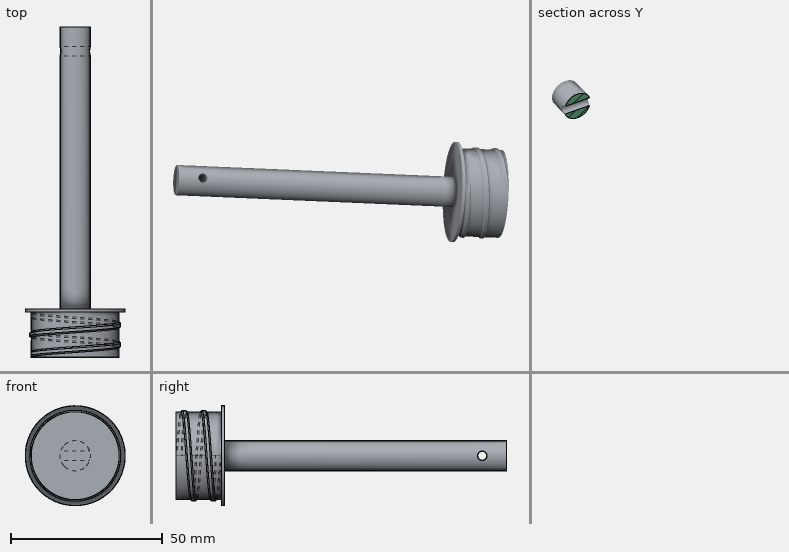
import cadquery as cq
import math

total_length = 109.0
cap_length = 15.0
flange_thickness = 1.0

cap_diameter = 29.0
thread_diameter = 30.0
flange_diameter = 33.0
rod_diameter = 10.0

cross_hole_diameter = 3.0
cross_hole_from_rod_end = 8.0

thread_turns = 2
thread_base_width = 2.0
thread_crest_width = 1.0
thread_runout_angle = 15.0
thread_overlap = 0.02

cap_radius = cap_diameter / 2
thread_height = (thread_diameter - cap_diameter) / 2
thread_pitch = (cap_length - thread_base_width) / thread_turns
thread_sweep_angle = 360.0 * thread_turns
flank_slope = (thread_base_width - thread_crest_width) / 2 / thread_height


def cylinder(diameter, start, length):
    """Solid cylinder on the Z axis, used before the part is turned onto Y."""
    return cq.Workplane("XY").workplane(offset=start).circle(diameter / 2).extrude(length)


def thread_section(angle, height):
    """Thread profile in the radial plane `angle` degrees along it, rising `height` above the cap."""
    center = thread_base_width / 2 + thread_pitch * angle / 360.0
    direction = math.radians(180.0 + angle)

    def point(rise, side):
        radius = cap_radius + rise
        half_width = thread_base_width / 2 - flank_slope * max(rise, 0.0)
        return cq.Vector(
            radius * math.cos(direction),
            radius * math.sin(direction),
            center + side * half_width,
        )

    corners = [
        point(-thread_overlap, -1),
        point(height, -1),
        point(height, 1),
        point(-thread_overlap, 1),
    ]
    return cq.Wire.makePolygon(corners, close=True)


def thread_runout(tip_angle, full_angle):
    """Wedge-shaped thread end that grows from nothing at the tip to full height."""
    middle_angle = (tip_angle + full_angle) / 2
    sections = [
        thread_section(tip_angle, 0.0),
        thread_section(middle_angle, thread_height / 2),
        thread_section(full_angle, thread_height),
    ]
    return cq.Workplane(cq.Solid.makeLoft(sections))


def thread_run():
    """Full-height thread between the two runouts."""
    run_angle = thread_sweep_angle - 2 * thread_runout_angle
    run_length = thread_pitch * run_angle / 360.0
    helix = cq.Wire.makeHelix(thread_pitch, run_length, cap_radius)
    start_angle = 180.0 + thread_runout_angle
    start_height = thread_base_width / 2 + thread_pitch * thread_runout_angle / 360.0
    axis_direction = cq.Vector(0, 0, 1)
    path = helix.rotate(cq.Vector(), axis_direction, start_angle)
    path = path.translate(axis_direction * start_height)
    section = thread_section(thread_runout_angle, thread_height)
    return cq.Workplane(cq.Solid.sweep(section, [], path, True, True))


def cross_hole():
    """Cutter for the hole across the rod near its free end."""
    hole_position = total_length - cross_hole_from_rod_end
    return (
        cq.Workplane("YZ")
        .center(0, hole_position)
        .circle(cross_hole_diameter / 2)
        .extrude(rod_diameter, both=True)
    )


cap = cylinder(cap_diameter, 0.0, cap_length)
flange = cylinder(flange_diameter, cap_length, flange_thickness)
rod = cylinder(rod_diameter, cap_length, total_length - cap_length)

body = (
    cap.union(thread_run())
    .union(thread_runout(0.0, thread_runout_angle))
    .union(thread_runout(thread_sweep_angle, thread_sweep_angle - thread_runout_angle))
    .union(flange)
    .union(rod)
    .cut(cross_hole())
)

result = body.rotate((0, 0, 0), (1, 0, 0), -90)